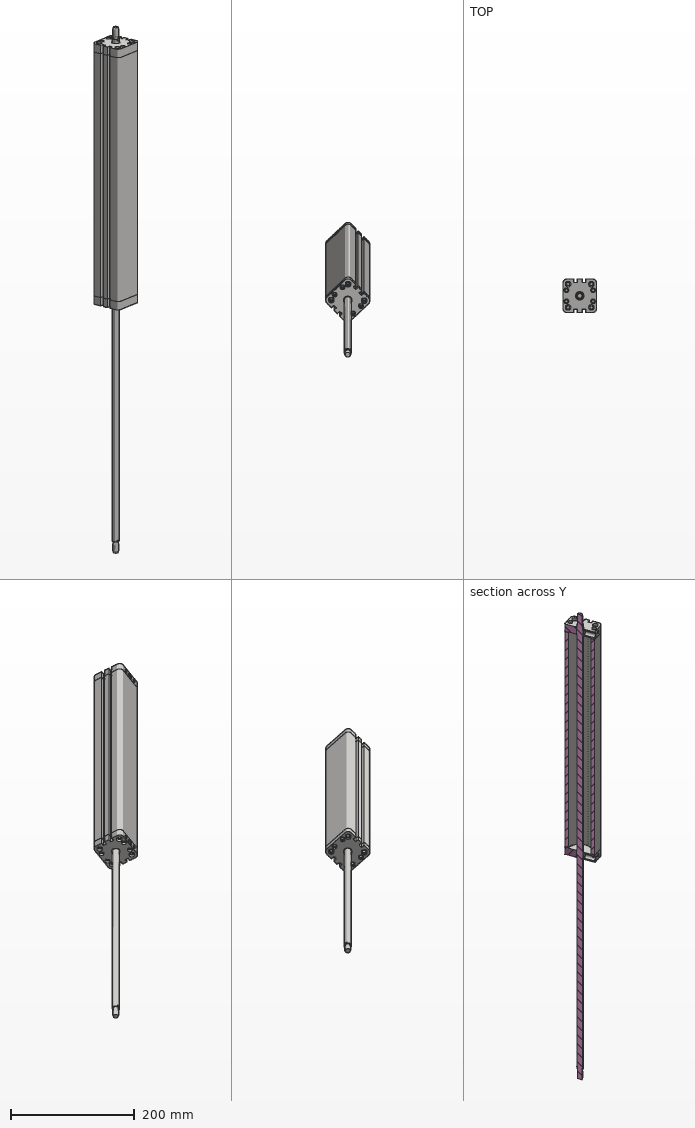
import cadquery as cq

total_length = 897.0
body_bottom = 426.0
body_top = 871.0
cap_height = 14.0
barrel_bottom = body_bottom + cap_height
barrel_top = body_top - cap_height

body_width = 55.0
corner_radius = 7.0
slot_gap = 8.2
slot_width = 5.5
slot_spacing = slot_gap + slot_width
slot_depth = 5.5
bore_diameter = 40.0

rod_diameter = 12.0
thread_diameter = 10.0
tip_diameter = 7.7
tip_length = 4.0
thread_length = 14.0
runout_length = 3.0
neck_diameter = 8.5
shoulder_height = 20.0
flat_length = 3.0
flat_width = 10.0

wiper_recess_diameter = 13.5
wiper_recess_depth = 3.0
mounting_spacing = 38.0
mounting_hole_diameter = 5.2
mounting_head_diameter = 9.0
mounting_head_depth = 5.0
assembly_spacing_x = 43.0
assembly_spacing_y = 18.0
assembly_hole_diameter = 4.9
assembly_head_diameter = 7.5
assembly_head_depth = 5.0
port_mouth_diameter = 10.0
port_mouth_depth = 1.0
port_diameter = 7.5
port_depth = 19.0
adjuster_spacing = 24.0
adjuster_diameter = 5.2
adjuster_depth = 4.0


def square_section(z_bottom, height):
    """Rounded square column with two sensor slots along each of its -Y and +Y sides."""
    column = (
        cq.Workplane("XY", origin=(0, 0, z_bottom))
        .rect(body_width, body_width)
        .extrude(height)
        .edges("|Z")
        .fillet(corner_radius)
    )
    slots = (
        cq.Workplane("XY", origin=(0, 0, z_bottom))
        .rarray(slot_spacing, body_width, 2, 2)
        .rect(slot_width, 2 * slot_depth)
        .extrude(height)
    )
    return column.cut(slots)


def make_barrel():
    """Profile tube with a cylindrical bore from end to end."""
    bore = (
        cq.Workplane("XY", origin=(0, 0, barrel_bottom))
        .circle(bore_diameter / 2)
        .extrude(barrel_top - barrel_bottom)
    )
    return square_section(barrel_bottom, barrel_top - barrel_bottom).cut(bore)


def counterbores(points, hole_diameter, head_diameter, head_depth):
    """Cutter for through holes down the upper cap, each with a wider recess in its end face."""
    end_face = cq.Workplane("XY", origin=(0, 0, body_top)).pushPoints(points)
    holes = end_face.circle(hole_diameter / 2).extrude(-cap_height)
    heads = end_face.circle(head_diameter / 2).extrude(-head_depth)
    return holes.union(heads)


def corner_points(spacing_x, spacing_y):
    """Four points placed symmetrically about the Z axis."""
    return [(x * spacing_x / 2, y * spacing_y / 2) for x in (-1, 1) for y in (-1, 1)]


def make_upper_cap():
    """Cap with the rod hole, mounting and assembly screw holes, and the openings in its -X side."""
    cap = square_section(barrel_top, cap_height)
    rod_hole = counterbores([(0, 0)], rod_diameter, wiper_recess_diameter, wiper_recess_depth)
    mounting_holes = counterbores(
        corner_points(mounting_spacing, mounting_spacing),
        mounting_hole_diameter,
        mounting_head_diameter,
        mounting_head_depth,
    )
    assembly_holes = counterbores(
        corner_points(assembly_spacing_x, assembly_spacing_y),
        assembly_hole_diameter,
        assembly_head_diameter,
        assembly_head_depth,
    )

    side = cq.Workplane("YZ", origin=(-body_width / 2, 0, barrel_top + cap_height / 2))
    port_mouth = side.circle(port_mouth_diameter / 2).extrude(port_mouth_depth)
    port = side.circle(port_diameter / 2).extrude(port_depth)
    adjusters = side.rarray(adjuster_spacing, 9, 2, 1).circle(adjuster_diameter / 2).extrude(adjuster_depth)

    for cutter in (rod_hole, mounting_holes, assembly_holes, port_mouth, port, adjusters):
        cap = cap.cut(cutter)
    return cap


def turn_over(shape, middle):
    """Copy of a shape turned end for end about the X direction at height `middle`."""
    return shape.rotate((0, 0, middle), (1, 0, middle), 180)


def make_threaded_end():
    """Threaded stud pointing down, with its tip at Z = 0 and a thread runout and neck at its root."""
    thread_radius = thread_diameter / 2
    neck_radius = neck_diameter / 2
    return (
        cq.Workplane("XZ")
        .moveTo(0, 0)
        .lineTo(tip_diameter / 2, 0)
        .lineTo(thread_radius, tip_length)
        .lineTo(thread_radius, thread_length)
        .lineTo(neck_radius, thread_length + runout_length)
        .lineTo(neck_radius, shoulder_height)
        .lineTo(0, shoulder_height)
        .close()
        .revolve(360, (0, 0, 0), (0, 1, 0))
    )


def make_flats():
    """Cutter for the two wrench flats, facing -X and +X, beside the lower shoulder."""
    collar = cq.Workplane("XY", origin=(0, 0, shoulder_height))
    outside = collar.rect(2 * rod_diameter, 2 * rod_diameter).extrude(flat_length)
    kept = collar.rect(flat_width, 2 * rod_diameter).extrude(flat_length)
    return outside.cut(kept)


def make_rod():
    """Through rod with wrench flats and a threaded stud at each end."""
    middle = total_length / 2
    rod = (
        cq.Workplane("XY", origin=(0, 0, shoulder_height))
        .circle(rod_diameter / 2)
        .extrude(total_length - 2 * shoulder_height)
    )
    flats = make_flats()
    stud = make_threaded_end()
    rod = rod.cut(flats).cut(turn_over(flats, middle))
    return rod.union(stud).union(turn_over(stud, middle))


barrel = make_barrel()
upper_cap = make_upper_cap()
body_middle = (body_bottom + body_top) / 2
lower_cap = turn_over(upper_cap, body_middle)
rod = make_rod()

result = cq.Compound.makeCompound([barrel.val(), upper_cap.val(), lower_cap.val(), rod.val()])